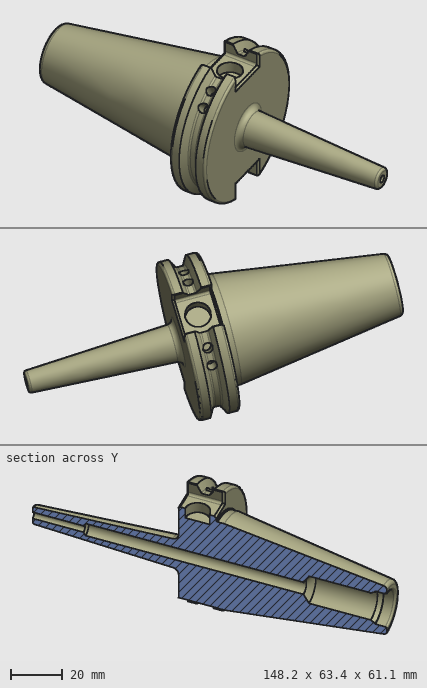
import cadquery as cq
import math

length = 148.2

taper_length = 68.2
taper_radius = 22.2
taper_end_radius = taper_radius - taper_length * 7 / 48
taper_end_fillet = 1.8
taper_root_fillet = 0.5

flange_start = 71.3
flange_end = 87.3
flange_radius = 31.7
rim_fillet = 1.0
groove_x = 79.3
groove_width = 7.4
groove_depth = 3.7
groove_half_angle = 30.0
groove_floor_fillet = 0.9
groove_floor_width = groove_width - 2 * groove_depth * math.tan(math.radians(groove_half_angle))
groove_floor_radius = flange_radius - groove_depth

nose_tip_radius = 4.5
nose_half_angle = 3.0
nose_length = length - flange_end
nose_base_radius = nose_tip_radius + nose_length * math.tan(math.radians(nose_half_angle))
nose_base_fillet = 2.5
nose_tip_fillet = 1.0

bore_mouth_fillet = 0.9
counterbore_radius = 8.3
counterbore_depth = 4.9
thread_mouth_radius = 8.0
thread_radius = 6.8
thread_mouth_length = 2.0
thread_end = 32.6
drill_half_angle = 59.0
channel_radius = 3.0
channel_end = 126.0
tool_bore_radius = 1.5

slot_half_width = 8.2
slot_corner_fillet = 1.0
slot_chamfer = 0.9
slot_rim_chamfer = 0.37
top_slot_floor = 24.8
bottom_slot_floor = 22.1

marker_hole_radius = 5.0
marker_hole_depth = 4.9
groove_hole_radius = 2.0
groove_hole_depth = 6.0
groove_hole_angles = (30, 45, -30, -45)


def cone_length(large_radius, small_radius):
    """Axial length of a drill-point cone between two radii."""
    return (large_radius - small_radius) / math.tan(math.radians(drill_half_angle))


def circle_at(x, radius):
    """Selector for the circular edges at one station along the axis, up to the given radius."""
    margin = 0.01
    reach = radius + margin
    low_corner = (x - margin, -reach, -reach)
    high_corner = (x + margin, reach, reach)
    return cq.selectors.BoxSelector(low_corner, high_corner, boundingbox=True)


def revolve_about_axis(points):
    return cq.Workplane("XZ").polyline(points).close().revolve(360, (0, 0, 0), (1, 0, 0))


def make_taper():
    body = revolve_about_axis([
        (0, 0),
        (0, taper_end_radius),
        (taper_length, taper_radius),
        (flange_start, taper_radius),
        (flange_start, 0),
    ])
    return body.edges(circle_at(0, taper_end_radius)).fillet(taper_end_fillet)


def make_flange_and_nose():
    body = revolve_about_axis([
        (flange_start, 0),
        (flange_start, flange_radius),
        (groove_x - groove_width / 2, flange_radius),
        (groove_x - groove_floor_width / 2, groove_floor_radius),
        (groove_x + groove_floor_width / 2, groove_floor_radius),
        (groove_x + groove_width / 2, flange_radius),
        (flange_end, flange_radius),
        (flange_end, nose_base_radius),
        (length, nose_tip_radius),
        (length, 0),
    ])
    for side in (-1, 1):
        floor_edge = circle_at(groove_x + side * groove_floor_width / 2, groove_floor_radius)
        body = body.edges(floor_edge).fillet(groove_floor_fillet)
    body = body.edges(circle_at(flange_start, flange_radius)).fillet(rim_fillet)
    body = body.edges(circle_at(flange_end, nose_base_radius)).fillet(nose_base_fillet)
    body = body.edges(circle_at(flange_end, flange_radius)).fillet(rim_fillet)
    return body.edges(circle_at(length, nose_tip_radius)).fillet(nose_tip_fillet)


def make_axial_bore():
    thread_start = counterbore_depth + thread_mouth_length
    return revolve_about_axis([
        (0, 0),
        (0, counterbore_radius),
        (counterbore_depth, counterbore_radius),
        (counterbore_depth, thread_mouth_radius),
        (thread_start, thread_radius),
        (thread_end, thread_radius),
        (thread_end + cone_length(thread_radius, channel_radius), channel_radius),
        (channel_end, channel_radius),
        (channel_end + cone_length(channel_radius, tool_bore_radius), tool_bore_radius),
        (length, tool_bore_radius),
        (length, 0),
    ])


def make_slot(floor, floor_chamfer):
    """Cutter for a slot open to +Z, with its mouth bevelled on both flange faces."""
    height = flange_radius - floor
    slot = (
        cq.Workplane("XY")
        .box(flange_end - flange_start, 2 * slot_half_width, height, centered=(False, True, False))
        .edges("|X and <Z")
        .fillet(slot_corner_fillet)
        .translate((flange_start, 0, floor))
    )
    for face_x, inward in ((flange_start, 1), (flange_end, -1)):
        mouth = slot_outline(face_x, slot_half_width + slot_chamfer, floor - floor_chamfer)
        throat = slot_outline(face_x + inward * slot_chamfer, slot_half_width, floor)
        slot = slot.union(cq.Workplane(cq.Solid.makeLoft([mouth, throat], True)))
    return slot.union(make_slot_rim_chamfer())


def make_slot_rim_chamfer():
    """Cutter that breaks the edges where the slot walls meet the flange rim."""
    rim_height = math.sqrt(flange_radius**2 - slot_half_width**2)
    wall_height = rim_height - slot_rim_chamfer
    spread = slot_half_width + flange_radius - wall_height
    return (
        cq.Workplane("YZ", origin=(flange_start, 0, 0))
        .polyline([
            (-slot_half_width, wall_height),
            (slot_half_width, wall_height),
            (spread, flange_radius),
            (-spread, flange_radius),
        ])
        .close()
        .extrude(flange_end - flange_start)
    )


def make_root_relief():
    """Cutter that carries the bottom slot through the fillet at the root of the taper."""
    height = flange_radius - bottom_slot_floor
    corner = (flange_start - taper_root_fillet, 0, bottom_slot_floor)
    return cq.Workplane("XY", origin=corner).box(
        taper_root_fillet, 2 * slot_half_width, height, centered=(False, True, False)
    )


def slot_outline(x, half_width, floor):
    return cq.Wire.makePolygon([
        cq.Vector(x, -half_width, floor),
        cq.Vector(x, half_width, floor),
        cq.Vector(x, half_width, flange_radius),
        cq.Vector(x, -half_width, flange_radius),
    ], close=True)


def make_radial_hole(radius, floor, angle):
    """Cutter for a blind hole at the groove, turned away from +Z about the X axis."""
    hole = cq.Workplane("XY", origin=(groove_x, 0, floor)).circle(radius).extrude(flange_radius - floor)
    return hole.rotate((0, 0, 0), (1, 0, 0), angle)


result = make_taper().union(make_flange_and_nose())
result = result.edges(circle_at(flange_start, taper_radius)).fillet(taper_root_fillet)
result = result.cut(make_axial_bore())
result = result.edges(circle_at(0, counterbore_radius)).fillet(bore_mouth_fillet)

result = result.cut(make_slot(top_slot_floor, slot_chamfer))
bottom_slot = make_slot(bottom_slot_floor, 0).union(make_root_relief())
result = result.cut(bottom_slot.rotate((0, 0, 0), (1, 0, 0), 180))

result = result.cut(make_radial_hole(marker_hole_radius, top_slot_floor - marker_hole_depth, 0))
hole_floor = groove_floor_radius - groove_hole_depth
for hole_angle in groove_hole_angles:
    result = result.cut(make_radial_hole(groove_hole_radius, hole_floor, hole_angle))